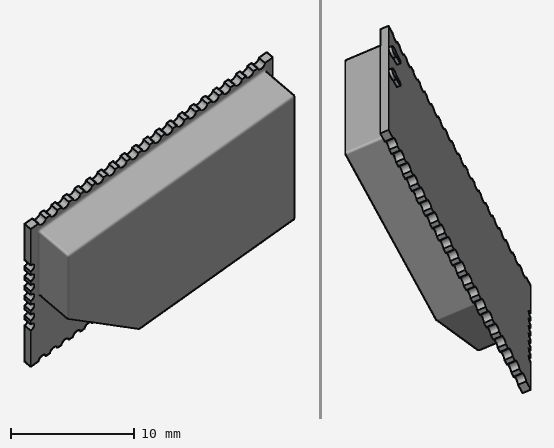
import cadquery as cq

BOARD_LENGTH = 26.67
BOARD_HEIGHT = 17.78
BOARD_THICKNESS = 0.75

PAD_THICKNESS = 0.3
PAD_HEAD_RADIUS = 0.485
PAD_LENGTH = 1.64
PAD_TAIL_WIDTH = 0.56
PAD_CORNER_RADIUS = 0.2

PITCH = 1.27
NOTCH_RADIUS = 0.4
LONG_EDGE_NOTCHES = 20
SHORT_EDGE_NOTCHES = 7
PAD_Z_POSITIONS = [PITCH, 4 * PITCH]

TOTAL_THICKNESS = 4.7
CAN_LENGTH = 25.0
CAN_HEIGHT = 16.0
CAN_CORNER_CUT = 7.8
CAN_FILLET = 0.22
CAN_DEPTH = TOTAL_THICKNESS - PAD_THICKNESS - BOARD_THICKNESS


def notch_offsets(count):
    """Centred positions of a row of notches."""
    return [(i - (count - 1) / 2) * PITCH for i in range(count)]


def make_board():
    """Plate notched along both Z edges and the -Y edge."""
    half_length = BOARD_LENGTH / 2
    half_height = BOARD_HEIGHT / 2
    centres = [(-half_length, z) for z in notch_offsets(SHORT_EDGE_NOTCHES)]
    for y in notch_offsets(LONG_EDGE_NOTCHES):
        centres.append((y, half_height))
        centres.append((y, -half_height))
    plate = cq.Workplane("YZ").rect(BOARD_LENGTH, BOARD_HEIGHT).extrude(BOARD_THICKNESS)
    notches = cq.Workplane("YZ").pushPoints(centres).circle(NOTCH_RADIUS).extrude(BOARD_THICKNESS)
    return plate.cut(notches)


def make_can():
    """Five-sided can with its outer edges rounded and its foot left sharp."""
    half_length = CAN_LENGTH / 2
    half_height = CAN_HEIGHT / 2
    outline = [
        (-half_length, half_height),
        (half_length, half_height),
        (half_length, -half_height),
        (-half_length + CAN_CORNER_CUT, -half_height),
        (-half_length, -half_height + CAN_CORNER_CUT),
    ]
    can = cq.Workplane("YZ", origin=(BOARD_THICKNESS, 0, 0)).polyline(outline).close().extrude(CAN_DEPTH)
    return can.edges("|X").fillet(CAN_FILLET).faces(">X").edges().fillet(CAN_FILLET)


def blend_can_to_board(body):
    """Round the inside corner where the can wall meets the board."""
    margin = CAN_FILLET / 2
    foot = cq.selectors.BoxSelector(
        (BOARD_THICKNESS - margin, -CAN_LENGTH / 2 - margin, -CAN_HEIGHT / 2 - margin),
        (BOARD_THICKNESS + margin, CAN_LENGTH / 2 + margin, CAN_HEIGHT / 2 + margin),
        boundingbox=True,
    )
    return body.edges(foot).fillet(CAN_FILLET)


def make_pad(z):
    """Keyhole-shaped pad: round head touching the +Y board edge, tail pointing to -Y."""
    head_y = BOARD_LENGTH / 2 - PAD_HEAD_RADIUS
    tail_length = PAD_LENGTH - PAD_HEAD_RADIUS
    base = cq.Workplane("YZ", origin=(-PAD_THICKNESS, head_y, z))
    head = base.circle(PAD_HEAD_RADIUS).extrude(PAD_THICKNESS)
    tail = base.center(-tail_length / 2, 0).rect(tail_length, PAD_TAIL_WIDTH).extrude(PAD_THICKNESS)
    tail = tail.edges("|X and <Y").fillet(PAD_CORNER_RADIUS)
    return head.union(tail)


result = blend_can_to_board(make_board().union(make_can()))
for pad_z in PAD_Z_POSITIONS:
    result = result.union(make_pad(pad_z))